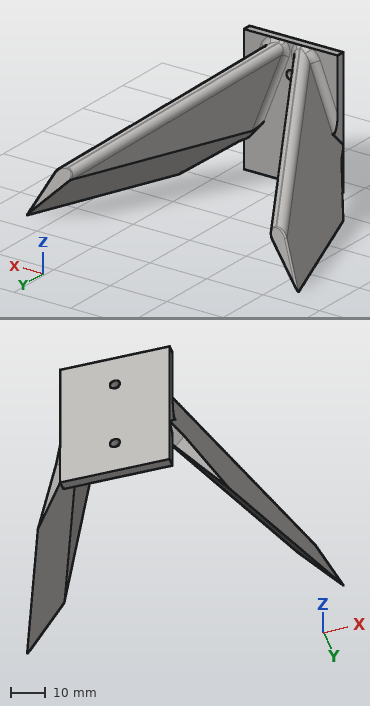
import cadquery as cq
import math

plate_width = 33.2
plate_thickness = 3.0
plate_height = 44.3
hole_diameter = 3.0
hole_heights = (10.9, 34.0)

overall_width = 96.0
overall_depth = 67.6
blade_thickness = 5.3
edge_radius = 2.5
tip_radius = 0.5
root_radius = 2.0
foot_z = 0.6
sweep_slope = 0.383
lean_slope = 0.393
foot_x = -22.3

crown_root = (5.4, 40.6)
crown_tip = (62.7, 14.6)
foot_tip = (66.9, foot_z)

relief_foot = (17.8, foot_z)
relief_knee = (5.2, 12.8)
relief_root = (0.0, 14.9)
relief_direction = cq.Vector(2.5, 0.3, -2.6)
keel_point = cq.Vector(-16.8, 5.5, 9.4)

tip_direction = cq.Vector(1, -0.1, 0)
tip_allowance = 1.1

tolerance = 0.01
overrun = 7.7


def face_point(y, z):
    """Point on the left blade's outer plane."""
    return cq.Vector(foot_x - sweep_slope * y + lean_slope * (z - foot_z), y, z)


def extend(start, end, distance):
    """Point past the end of a segment, measured in the YZ plane."""
    dy, dz = end[0] - start[0], end[1] - start[1]
    length = math.hypot(dy, dz)
    return end[0] + dy / length * distance, end[1] + dz / length * distance


blade_plane = cq.Plane(
    origin=face_point(0, foot_z).toTuple(),
    xDir=(-sweep_slope, 1, 0),
    normal=(1, sweep_slope, -lean_slope),
)


def face_sketch(points):
    """Closed outline on the outer blade face from (Y, Z) corners."""
    local = [blade_plane.toLocalCoords(face_point(y, z)) for y, z in points]
    return cq.Workplane(blade_plane).polyline([(p.x, p.y) for p in local]).close()


def make_plate():
    """Rectangular plate with two screw holes on its centreline."""
    plate = cq.Workplane("XY").box(
        plate_width, plate_thickness, plate_height, centered=(True, False, False)
    )
    for z in hole_heights:
        hole = cq.Workplane("XZ").center(0, z).circle(hole_diameter / 2).extrude(-plate_thickness)
        plate = plate.cut(hole)
    return plate


def make_blade():
    """Left blade, rounded along its crown and trimmed at tip, root and foot."""
    root_top = extend(crown_tip, crown_root, 2 * overrun)
    crown_end = extend(crown_root, crown_tip, 2 * overrun)
    foot_level = foot_z - overrun
    outline = face_sketch(
        [root_top, crown_end, (crown_end[0], foot_level), (root_top[0], foot_level)]
    )
    blade = outline.offset2D(edge_radius, "intersection").extrude(blade_thickness)

    crown = face_point(*crown_tip) - face_point(*crown_root)
    crown_edges = blade.edges(cq.selectors.ParallelDirSelector(crown)).edges(">Z or >>Z[-2]")
    blade = crown_edges.fillet(edge_radius)

    end_top = extend(foot_tip, crown_tip, 2 * overrun)
    end_bottom = extend(crown_tip, foot_tip, 2 * overrun)
    beyond = overall_depth + 4 * overrun
    end_points = [end_top, end_bottom, (beyond, end_bottom[1]), (beyond, end_top[1])]
    corners = [face_point(y, z) + cq.Vector(0, tip_allowance, 0) for y, z in end_points]
    beyond_end = cq.Wire.makePolygon(corners, close=True)
    sweep = tip_direction * (3 * overrun)
    tip_cutter = cq.Solid.extrudeLinear(beyond_end, [], sweep * 2)
    blade = blade.cut(cq.Workplane(tip_cutter.translate(sweep * -1)))

    tip = face_point(*crown_tip) - face_point(*foot_tip)
    tip_edges = blade.edges(cq.selectors.ParallelDirSelector(tip))
    blade = tip_edges.edges("<X").fillet(tip_radius)
    return trim_foot(blade)


def trim_foot(blade):
    """Cut the root relief, bevel the underside and clip to the part's envelope."""
    relief = face_sketch([
        extend(relief_knee, relief_foot, overrun),
        relief_knee,
        extend(relief_knee, relief_root, overrun),
        (-overrun, -overrun),
    ])
    depth = relief_direction * (2.084 * overrun)
    start = relief_direction * -1
    cutter = cq.Solid.extrudeLinear(relief.wires().val(), [], depth).translate(start)
    blade = blade.cut(cq.Workplane(cutter))

    heel = face_point(*relief_foot)
    toe = face_point(*foot_tip)
    slope_end = heel + (keel_point - heel) * 3
    below = cq.Vector(slope_end.x, slope_end.y, heel.z - overrun)
    bevel_section = cq.Wire.makePolygon([heel, slope_end, below], close=True)
    sweep = (toe - heel) * 2
    bevel = cq.Solid.extrudeLinear(bevel_section, [], sweep * 2).translate(sweep * -1)
    blade = blade.cut(cq.Workplane(bevel))

    envelope = cq.Workplane("XY").box(
        overall_width, overall_depth, plate_height - foot_z, centered=(True, False, False)
    )
    return blade.intersect(envelope.translate((0, 0, foot_z)))


def on_root(edge):
    """True for the blade's junction with the plate, above the short relief edges."""
    box = edge.BoundingBox()
    on_face = abs(box.ymin - plate_thickness) < tolerance and box.ylen < tolerance
    inside_width = abs(edge.Center().x) < plate_width / 2 - tolerance
    inside_height = relief_root[1] < box.zmax < plate_height - tolerance
    return on_face and inside_width and inside_height and edge.geomType() != "CIRCLE"


blade = make_blade()
half = make_plate().union(blade)
root_edges = half.newObject([e for e in half.edges().vals() if on_root(e)])
half = root_edges.fillet(root_radius)
result = half.union(half.mirror("YZ"))